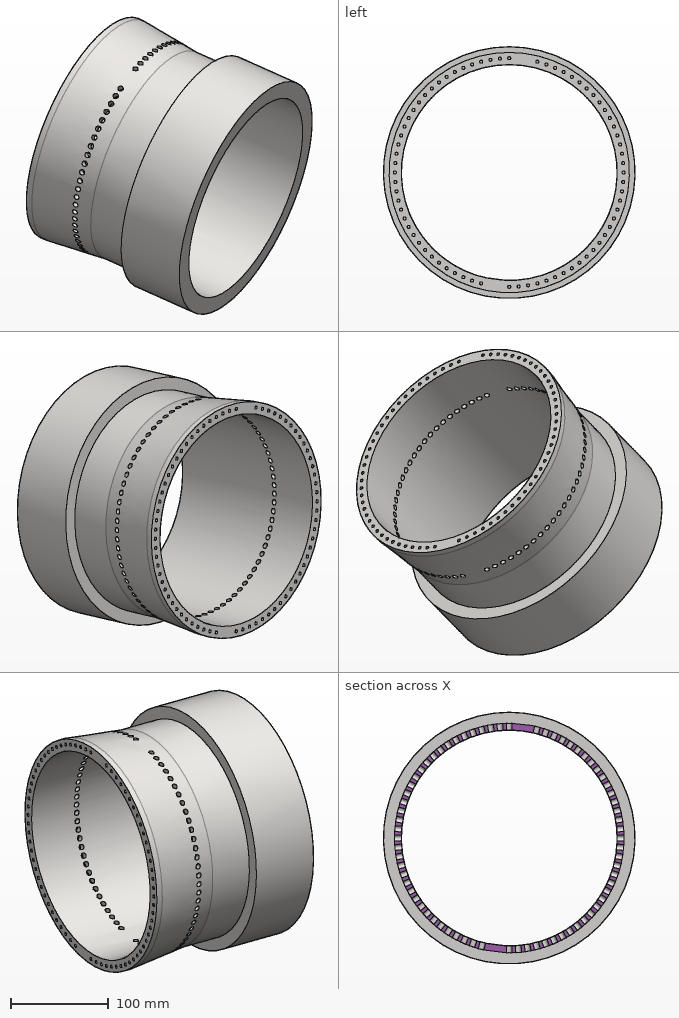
import cadquery as cq
import math

length = 187.5
flange_radius = 128.5
flange_width = 70.0
neck_radius = 115.5
bore_radius = 110.0

lip_radius = 122.5
lip_width = 6.7
cone_end = 73.0

pitch_count = 76
half_count = pitch_count // 2
gap_count = 2
radial_hole_diameter = 5.5
radial_hole_x = 55.0
axial_hole_diameter = 3.0
axial_hole_depth = 25.7
axial_hole_circle_radius = 116.7


def make_sleeve():
    """Revolve the wall section around the X axis."""
    flange_start = length - flange_width
    section = (
        cq.Workplane("XZ")
        .moveTo(0, bore_radius)
        .lineTo(0, lip_radius)
        .lineTo(lip_width, lip_radius)
        .lineTo(cone_end, neck_radius)
        .lineTo(flange_start, neck_radius)
        .lineTo(flange_start, flange_radius)
        .lineTo(length, flange_radius)
        .lineTo(length, bore_radius)
        .close()
    )
    return section.revolve(360, (0, 0, 0), (1, 0, 0))


def hole_directions():
    """Unit vectors from the axis to each hole, counted from +Z towards +Y."""
    directions = []
    for step in range(pitch_count):
        if step % half_count >= half_count - gap_count:
            continue
        angle = 2 * math.pi * step / pitch_count
        directions.append(cq.Vector(0, math.sin(angle), math.cos(angle)))
    return directions


def make_holes(directions):
    """Radial holes through the flared wall, and blind axial holes in the end face."""
    cutter_start = bore_radius - radial_hole_diameter
    cutter_end = lip_radius + radial_hole_diameter
    holes = []
    for direction in directions:
        radial_hole = cq.Solid.makeCylinder(
            radial_hole_diameter / 2,
            cutter_end - cutter_start,
            cq.Vector(radial_hole_x, 0, 0) + direction * cutter_start,
            direction,
        )
        axial_hole = cq.Solid.makeCylinder(
            axial_hole_diameter / 2,
            axial_hole_depth,
            direction * axial_hole_circle_radius,
            cq.Vector(1, 0, 0),
        )
        holes += [radial_hole, axial_hole]
    return holes


sleeve = make_sleeve().val()
result = cq.Workplane(sleeve.cut(*make_holes(hole_directions())))